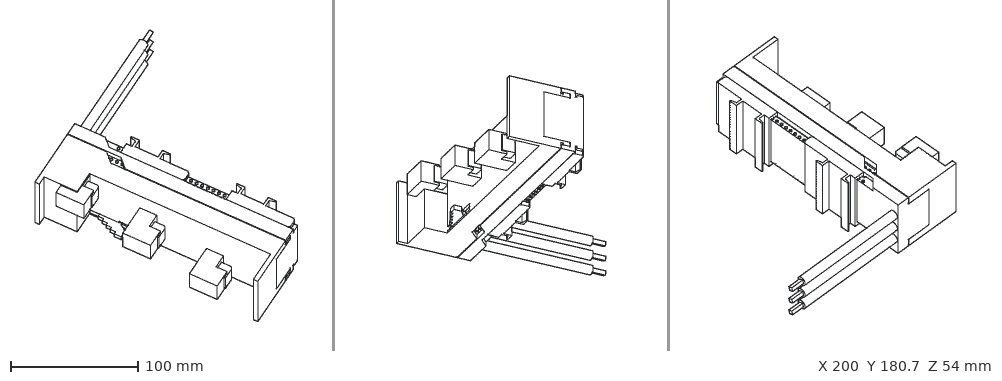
import cadquery as cq

LENGTH = 200.0
WIDTH = 54.0

PLATE = 4.0
FOOT_END = 33.6
FOOT_FRONT = 8.0
WALL_FRONT = 28.0
LOWER_BACK = 53.0
LOWER_STEP = 8.0
LOWER_STEP_X = 35.5

GAP = 0.6
UPPER_BACK = 65.0
UPPER_STEP = 7.2
UPPER_STEP_X = 27.6
JOINT_STEP_X = 48.0
UPPER_FRONT = LOWER_BACK + GAP
TONGUE_FRONT = 30.5
TONGUE_MARGIN = 7.2

RAIL_RECESS = 3.6
RAIL_DEPTH = 5.6
NECK_GROOVE = 1.6
NECK_START = 43.0
HOLE_DIAMETER = 2.5
HOLE_DEPTH = 2.0
HOLE_PITCH = 5.0
HOLE_START = 40.6
HOLE_COUNT = 31
HOLE_FROM_BACK = 2.2

HOOK_COUNT = 3
HOOK_START = 19.0
HOOK_PITCH = 59.8
HOOK_LENGTH = 25.0
HOOK_STEM = 15.2
HOOK_NOTCH = 16.0
HOOK_HEIGHT = 18.2
FIRST_HOOK_Z = 34.6
HOOK_DROP = 14.6
CONTACT_FRONT = 11.2
CONTACT_BACK = 23.2
CONTACT_GAP = 0.8
CONTACT_OVERHANG = 1.2
CONTACT_INSET = 2.0
CONTACT_ROUND = 2.5

LEVER_BASE = 1.8
LEVER_THICKNESS = 4.0
LEVER_END = 68.2
LEVER_TIP_START = 61.8
LEVER_FRONT = 16.8
LEVER_SHOULDER = 23.2
LEVER_STEPS = 4
LEVER_RUN = 4.8
LEVER_RISE = 2.2
SLOT_END = 73.0
SLOT_TALL_START = 60.2
SLOT_TALL_EXTRA = 1.6

MOUNT_COUNT = 2
MOUNT_START = 45.0
MOUNT_PITCH = 94.8
MOUNT_LENGTH = 57.0
MOUNT_BACK = 67.5
MOUNT_CHAMFER = 1.6
SEAT_BACK = 68.2
CLAW_BACK = 75.5
CLAW_TIP = 1.0
CLAW_ROOT = 2.5
CLAW_STEM = 2.2
CLAW_REACH = 5.2
CLAW_SPAN = 35.5

CABLE_COUNT = 3
CABLE_X = 4.8
CABLE_PITCH = 13.0
CABLE_DIAMETER = 8.0
CABLE_END = 168.5
CONDUCTOR_DIAGONAL = 5.0
CONDUCTOR_TILT = 17.0
CONDUCTOR_END = 180.7


def box(x0, x1, y0, y1, z0, z1):
    """Box between two corners."""
    return cq.Workplane("XY").box(x1 - x0, y1 - y0, z1 - z0, centered=False).translate((x0, y0, z0))


def plate(points, z0, z1):
    """Closed XY outline extruded from z0 to z1."""
    return cq.Workplane("XY").workplane(offset=z0).polyline(points).close().extrude(z1 - z0)


def rail_blank(start_x, back, step):
    """Rail without holes, with a groove along its neck on both sides."""
    top = WIDTH - RAIL_RECESS
    neck_front = back - step
    neck_back = back - RAIL_DEPTH
    rail = box(start_x, LENGTH, neck_front, back, RAIL_RECESS, top)
    for z in (RAIL_RECESS, top - NECK_GROOVE):
        rail = rail.cut(box(NECK_START, LENGTH, neck_front, neck_back, z, z + NECK_GROOVE))
    return rail


def drill_rail(rail, back):
    """Row of blind holes with conical floors in both faces of a rail."""
    radius = HOLE_DIAMETER / 2
    row = [(HOLE_START + i * HOLE_PITCH, back - HOLE_FROM_BACK) for i in range(HOLE_COUNT)]
    section = [(0, 0), (radius, 0), (radius, HOLE_DEPTH - radius), (0, HOLE_DEPTH)]
    hole = cq.Workplane("XZ").polyline(section).close().revolve(360, (0, 0, 0), (0, 1, 0))
    lower_hole = hole.translate((0, 0, RAIL_RECESS)).val()
    upper_hole = lower_hole.mirror("XY", (0, 0, WIDTH / 2))
    holes = [tool.translate(cq.Vector(x, y, 0)) for tool in (lower_hole, upper_hole) for x, y in row]
    return rail.cut(cq.Workplane(cq.Compound.makeCompound(holes)))


def make_tongue():
    """Tongue of the upper housing that fills the inside of the lower housing."""
    return box(0, LENGTH, TONGUE_FRONT, UPPER_FRONT, TONGUE_MARGIN, WIDTH - TONGUE_MARGIN)


def make_hook(index):
    """L-shaped busbar hook with the contact that sits in its notch."""
    x = HOOK_START + index * HOOK_PITCH
    z = FIRST_HOOK_Z - index * HOOK_DROP
    stem_end = x + HOOK_STEM
    end = x + HOOK_LENGTH
    hook = box(x, end, 0, HOOK_NOTCH, z, z + HOOK_HEIGHT)
    hook = hook.union(box(x, stem_end, 0, WALL_FRONT, z, z + HOOK_HEIGHT))
    contact = box(
        stem_end + CONTACT_GAP, end + CONTACT_OVERHANG, CONTACT_FRONT, CONTACT_BACK,
        z + CONTACT_INSET, z + HOOK_HEIGHT - CONTACT_INSET,
    )
    contact = contact.edges("|Z and >X and >Y").fillet(CONTACT_ROUND)
    return hook.union(contact)


def make_lever():
    """Locking lever with a stepped grip edge."""
    points = [
        (LEVER_TIP_START, TONGUE_FRONT),
        (LEVER_TIP_START, WALL_FRONT),
        (LEVER_END, LEVER_SHOULDER),
        (LEVER_END, LEVER_FRONT),
    ]
    for i in range(LEVER_STEPS):
        x = LEVER_TIP_START - i * LEVER_RUN
        y = LEVER_FRONT + i * LEVER_RISE
        points += [(x, y), (x, y + LEVER_RISE)]
    root_x = LEVER_TIP_START - LEVER_STEPS * LEVER_RUN
    points += [(root_x, LEVER_FRONT + LEVER_STEPS * LEVER_RISE), (root_x, TONGUE_FRONT)]
    return plate(points, LEVER_BASE, LEVER_BASE + LEVER_THICKNESS)


def make_lever_slot():
    """Slot through the long wall, taller at its right end."""
    top = LEVER_BASE + LEVER_THICKNESS
    slot = box(FOOT_END, SLOT_END, WALL_FRONT, TONGUE_FRONT, LEVER_BASE, top)
    tall_top = top + SLOT_TALL_EXTRA
    return slot.union(box(SLOT_TALL_START, SLOT_END, WALL_FRONT, TONGUE_FRONT, LEVER_BASE, tall_top))


def make_lower_housing():
    """Housing with end plates, foot, busbar hooks and a perforated rail."""
    step_back = LOWER_BACK - LOWER_STEP
    outline = [
        (0, 0), (PLATE, 0), (PLATE, FOOT_FRONT), (FOOT_END, FOOT_FRONT), (FOOT_END, WALL_FRONT),
        (LENGTH - PLATE, WALL_FRONT), (LENGTH - PLATE, 0), (LENGTH, 0), (LENGTH, step_back),
        (LOWER_STEP_X + LOWER_STEP, step_back), (LOWER_STEP_X, LOWER_BACK), (0, LOWER_BACK),
    ]
    housing = plate(outline, 0, WIDTH)
    rail = rail_blank(LOWER_STEP_X, LOWER_BACK, LOWER_STEP)
    housing = housing.union(drill_rail(rail, LOWER_BACK))
    for i in range(HOOK_COUNT):
        housing = housing.union(make_hook(i))
    return housing.cut(make_tongue()).cut(make_lever_slot())


def make_upper_housing():
    """Housing that closes the lower one and carries the second perforated rail."""
    joint_back = UPPER_FRONT - LOWER_STEP
    step_back = UPPER_BACK - UPPER_STEP
    outline = [
        (0, UPPER_FRONT), (JOINT_STEP_X, UPPER_FRONT), (JOINT_STEP_X + LOWER_STEP, joint_back),
        (LENGTH, joint_back), (LENGTH, step_back),
        (UPPER_STEP_X + UPPER_STEP, step_back), (UPPER_STEP_X, UPPER_BACK), (0, UPPER_BACK),
    ]
    housing = plate(outline, 0, WIDTH)
    rail_pocket = box(JOINT_STEP_X, LENGTH, joint_back, UPPER_FRONT, RAIL_RECESS, WIDTH - RAIL_RECESS)
    housing = housing.cut(rail_pocket).union(make_tongue())
    rail = rail_blank(UPPER_STEP_X, UPPER_BACK, UPPER_STEP)
    return housing.union(drill_rail(rail, UPPER_BACK))


def make_mount(index):
    """Device rail with two claws, wrapped around the upper rail."""
    front = UPPER_BACK - UPPER_STEP
    body = box(0, MOUNT_LENGTH, front, MOUNT_BACK, 0, WIDTH)
    body = body.edges("|Z and >X").chamfer(MOUNT_CHAMFER)
    stem_end = CLAW_REACH + CLAW_STEM
    claws = [
        (CLAW_REACH, front), (CLAW_REACH, CLAW_BACK - CLAW_ROOT), (0, CLAW_BACK - CLAW_TIP),
        (0, CLAW_BACK), (stem_end, CLAW_BACK), (stem_end, SEAT_BACK),
        (CLAW_SPAN - stem_end, SEAT_BACK), (CLAW_SPAN - stem_end, CLAW_BACK), (CLAW_SPAN, CLAW_BACK),
        (CLAW_SPAN, CLAW_BACK - CLAW_TIP), (CLAW_SPAN - CLAW_REACH, CLAW_BACK - CLAW_ROOT),
        (CLAW_SPAN - CLAW_REACH, front),
    ]
    body = body.union(plate(claws, 0, WIDTH))
    body = body.translate((MOUNT_START + index * MOUNT_PITCH, 0, 0))
    return body.cut(rail_blank(UPPER_STEP_X, UPPER_BACK, UPPER_STEP))


def make_cable(index):
    """Round cable with a bare conductor end."""
    z = WIDTH / 2 + (index - (CABLE_COUNT - 1) / 2) * CABLE_PITCH
    start = cq.Workplane("XZ", origin=(CABLE_X, UPPER_BACK, z))
    sheath = start.circle(CABLE_DIAMETER / 2).extrude(UPPER_BACK - CABLE_END)
    conductor = start.polygon(4, CONDUCTOR_DIAGONAL).extrude(UPPER_BACK - CONDUCTOR_END)
    turn = 45 + CONDUCTOR_TILT
    conductor = conductor.rotate((CABLE_X, 0, z), (CABLE_X, 1, z), turn)
    return sheath.union(conductor)


lower_housing = make_lower_housing()
upper_housing = make_upper_housing()
lever = make_lever()
mounts = [make_mount(i).val() for i in range(MOUNT_COUNT)]
cables = [make_cable(i).val() for i in range(CABLE_COUNT)]

result = cq.Compound.makeCompound(
    [lower_housing.val(), upper_housing.val(), lever.val(), *mounts, *cables]
)